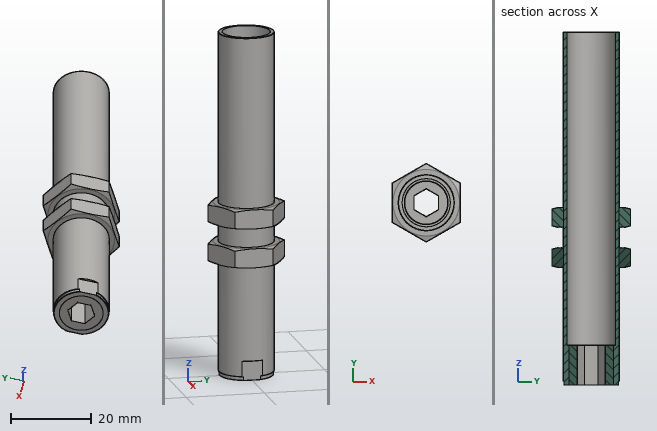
import cadquery as cq
import math

sleeve_length = 88.0
sleeve_diameter = 14.0
bore_diameter = 12.0
plug_seat_diameter = 10.92
plug_seat_depth = 10.0

pilot_diameter = 13.7
pilot_height = 1.0

edge_break = 0.1

flat_spacing = 13.0
flat_height = 5.0

nut_width = 17.0
nut_height = 5.0
nut_spacing = 10.0
nut_pair_bottom = 29.3
nut_count = 2
nut_face_diameter = 16.6
nut_chamfer_angle = 15.0

socket_width = 6.0


def across_corners(width):
    """Corner-to-corner size of a hexagon with the given width across flats."""
    return width / math.cos(math.radians(30))


def hexagon_prism(width, height):
    """Hexagonal prism on Z = 0 with its flats facing +X and -X."""
    prism = cq.Workplane("XY").polygon(6, across_corners(width)).extrude(height)
    return prism.rotate((0, 0, 0), (0, 0, 1), 30)


def make_sleeve():
    """Tube with a plug seat, a stepped lower end and two wrench flats."""
    outer_radius = sleeve_diameter / 2
    pilot_radius = pilot_diameter / 2
    bore_radius = bore_diameter / 2
    seat_radius = plug_seat_diameter / 2
    profile = [
        (seat_radius, 0),
        (pilot_radius - edge_break, 0),
        (pilot_radius, edge_break),
        (pilot_radius, pilot_height),
        (outer_radius, pilot_height),
        (outer_radius, sleeve_length - edge_break),
        (outer_radius - edge_break, sleeve_length),
        (bore_radius, sleeve_length),
        (bore_radius, plug_seat_depth),
        (seat_radius, plug_seat_depth),
    ]
    sleeve = cq.Workplane("XZ").polyline(profile).close().revolve(360, (0, 0), (0, 1))

    for side in (-1, 1):
        cutter = cq.Workplane("XY").box(
            sleeve_diameter, sleeve_diameter, flat_height, centered=(True, True, False)
        )
        sleeve = sleeve.cut(cutter.translate((side * (flat_spacing + sleeve_diameter) / 2, 0, 0)))
    return sleeve


def make_plug():
    """Round plug with a hexagon socket running right through it."""
    plug = cq.Workplane("XY").circle(plug_seat_diameter / 2).extrude(plug_seat_depth)
    plug = plug.faces(">Z").chamfer(edge_break)
    return plug.cut(hexagon_prism(socket_width, plug_seat_depth))


def make_lock_nut(bottom):
    """Hexagon nut around the sleeve, with its corners chamfered on both faces."""
    face_radius = nut_face_diameter / 2
    corner_radius = across_corners(nut_width) / 2
    chamfer_height = (corner_radius - face_radius) * math.tan(math.radians(nut_chamfer_angle))
    envelope_profile = [
        (0, 0),
        (face_radius, 0),
        (corner_radius, chamfer_height),
        (corner_radius, nut_height - chamfer_height),
        (face_radius, nut_height),
        (0, nut_height),
    ]
    envelope = cq.Workplane("XZ").polyline(envelope_profile).close().revolve(360, (0, 0), (0, 1))
    bore = cq.Workplane("XY").circle(sleeve_diameter / 2).extrude(nut_height)
    nut = hexagon_prism(nut_width, nut_height).intersect(envelope).cut(bore)
    return nut.translate((0, 0, bottom))


sleeve = make_sleeve()
plug = make_plug()
lock_nuts = [make_lock_nut(nut_pair_bottom + index * nut_spacing) for index in range(nut_count)]

result = cq.Compound.makeCompound([sleeve.val(), plug.val(), *[nut.val() for nut in lock_nuts]])